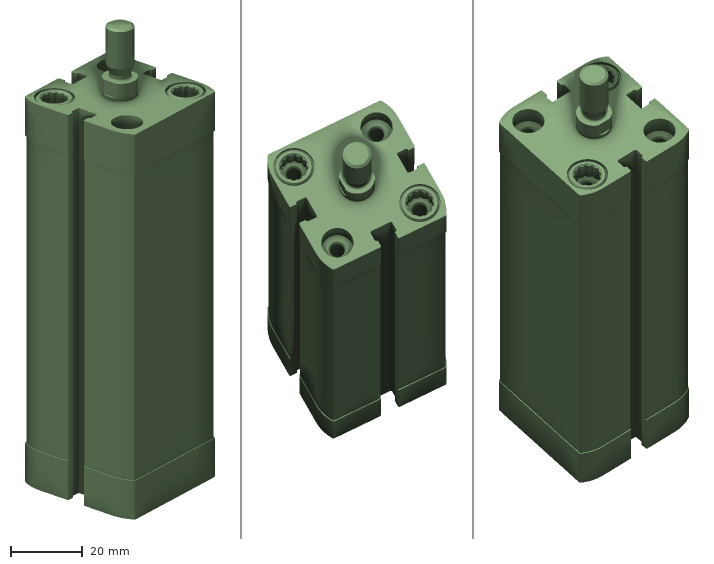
import cadquery as cq
import math

cap_width = 39.5
tube_inset = 0.25
housing_height = 119.0
cap_height = 12.0
tube_height = housing_height - 2 * cap_height

corner_radius = 12.5
corner_center_x = 13.0
corner_blend_radius = 0.8

slot_mouth_width = 5.4
slot_mouth_radius = 0.4
slot_inner_width = 6.8
slot_depth = 5.5
slot_lip = 2.2
slot_inner_chamfer = 0.3
slot_angles = (0, 180, 270)

hole_offset = 13.0
through_diameter = 4.13
hole_rim_diameter = 5.0
hole_rim_height = (hole_rim_diameter - through_diameter) / 2
counterbore_diameter = 9.0
counterbore_depth = 5.0

screw_recess_diameter = 11.5
screw_recess_depth = 1.0
head_diameter = 10.5
head_crown_diameter = 9.7
head_chamfer_height = 0.5

socket_point_diameter = 8.0
socket_mouth_diameter = 8.5
socket_mouth_height = 0.5
socket_depth = 5.0
hexagon_sides = 6
hexagon_turns = (0, 180 / hexagon_sides)

rod_diameter = 10.0
rod_embedment = cap_height
collar_height = 5.5
flat_across = 9.0
flat_height = 4.3
stud_diameter = 8.0
stud_length = 16.0
stud_full_length = 12.0
stud_tip_diameter = 6.4
stud_tip_height = 0.5
neck_diameter = 6.2
neck_cone_length = 2.5
neck_fillet = 0.6
collar_top = housing_height + collar_height


def cylinder(diameter, top, depth):
    """Cylinder on the Z axis, reaching down from its top."""
    return cq.Workplane("XY", origin=(0, 0, top - depth)).circle(diameter / 2).extrude(depth)


def cone(bottom_diameter, top_diameter, top, depth):
    """Truncated cone on the Z axis, reaching down from its top."""
    return cq.Workplane(
        cq.Solid.makeCone(bottom_diameter / 2, top_diameter / 2, depth, cq.Vector(0, 0, top - depth))
    )


def outline_prism(inset, bottom, height):
    """Square prism with relieved corners, its outline drawn in by the inset."""
    half = cap_width / 2 - inset
    radius = corner_radius - inset
    center_y = half - radius
    end_angle = math.acos((half - corner_center_x) / radius)
    mid_angle = (math.pi / 2 + end_angle) / 2
    side_y = center_y + radius * math.sin(end_angle)
    mid_x = corner_center_x + radius * math.cos(mid_angle)
    mid_y = center_y + radius * math.sin(mid_angle)
    return (
        cq.Workplane("XY", origin=(0, 0, bottom))
        .moveTo(-corner_center_x, half)
        .lineTo(corner_center_x, half)
        .threePointArc((mid_x, mid_y), (half, side_y))
        .lineTo(half, -side_y)
        .threePointArc((mid_x, -mid_y), (corner_center_x, -half))
        .lineTo(-corner_center_x, -half)
        .threePointArc((-mid_x, -mid_y), (-half, -side_y))
        .lineTo(-half, side_y)
        .threePointArc((-mid_x, mid_y), (-corner_center_x, half))
        .close()
        .extrude(height)
        .edges("|Z and (>X or <X)")
        .fillet(corner_blend_radius)
    )


def slot_cutter(inset, bottom, height):
    """Cutter for a slot in the -Y face, with its mouth rounded into the inset face."""
    face_y = inset - cap_width / 2
    floor_y = slot_depth - cap_width / 2
    undercut_depth = slot_depth - slot_lip
    half_mouth = slot_mouth_width / 2
    half_flare = half_mouth + slot_mouth_radius
    undercut = (
        cq.Workplane("XY", origin=(0, floor_y - undercut_depth / 2, bottom))
        .rect(slot_inner_width, undercut_depth)
        .extrude(height)
        .edges("|Z")
        .chamfer(slot_inner_chamfer)
    )
    mouth = (
        cq.Workplane("XY", origin=(0, 0, bottom))
        .moveTo(-half_mouth, floor_y)
        .lineTo(half_mouth, floor_y)
        .lineTo(half_mouth, face_y + slot_mouth_radius)
        .radiusArc((half_flare, face_y), -slot_mouth_radius)
        .lineTo(-half_flare, face_y)
        .radiusArc((-half_mouth, face_y + slot_mouth_radius), -slot_mouth_radius)
        .close()
        .extrude(height)
    )
    return undercut.union(mouth)


def housing_section(inset, bottom, height):
    """One slotted length of the housing."""
    section = outline_prism(inset, bottom, height)
    cutter = slot_cutter(inset, bottom, height)
    for angle in slot_angles:
        section = section.cut(cutter.rotate((0, 0, 0), (0, 0, 1), angle))
    return section


def through_hole_cutter(recess_depth):
    """Full-height hole with a conical rim at the floor of its recess."""
    floor = housing_height - recess_depth
    rim = cone(through_diameter, hole_rim_diameter, floor, hole_rim_height)
    return cylinder(through_diameter, housing_height, housing_height).union(rim)


def counterbore_cutter():
    counterbore = cylinder(counterbore_diameter, housing_height, counterbore_depth)
    return through_hole_cutter(counterbore_depth).union(counterbore)


def screw_cutter():
    """Everything that is hollow in and around one socket screw head."""
    shoulder = housing_height - head_chamfer_height
    head = cylinder(head_diameter, shoulder, screw_recess_depth - head_chamfer_height)
    head = head.union(cone(head_diameter, head_crown_diameter, housing_height, head_chamfer_height))
    ring_gap = cylinder(screw_recess_diameter, housing_height, screw_recess_depth).cut(head)

    socket_floor_diameter = socket_mouth_diameter - 2 * socket_mouth_height
    socket = cone(socket_floor_diameter, socket_mouth_diameter, housing_height, socket_mouth_height)
    for turn in hexagon_turns:
        hexagon = (
            cq.Workplane("XY", origin=(0, 0, housing_height - socket_depth))
            .polygon(hexagon_sides, socket_point_diameter)
            .extrude(socket_depth)
            .rotate((0, 0, 0), (0, 0, 1), turn)
        )
        socket = socket.union(hexagon)
    return through_hole_cutter(socket_depth).union(socket).union(ring_gap)


def make_housing():
    housing = housing_section(tube_inset, cap_height, tube_height)
    for bottom in (0, housing_height - cap_height):
        housing = housing.union(housing_section(0, bottom, cap_height))
    for side in (1, -1):
        offset = side * hole_offset
        housing = housing.cut(counterbore_cutter().translate((-offset, offset, 0)))
        housing = housing.cut(screw_cutter().translate((offset, offset, 0)))
    return housing.cut(cylinder(rod_diameter, housing_height, rod_embedment))


def make_rod():
    rod_radius = rod_diameter / 2
    stud_radius = stud_diameter / 2
    neck_radius = neck_diameter / 2
    rod_bottom = housing_height - rod_embedment
    stud_top = collar_top + stud_length
    full_bottom = stud_top - stud_full_length
    rod = (
        cq.Workplane("XZ")
        .moveTo(0, rod_bottom)
        .lineTo(rod_radius, rod_bottom)
        .lineTo(rod_radius, collar_top)
        .lineTo(neck_radius + neck_fillet, collar_top)
        .radiusArc((neck_radius, collar_top + neck_fillet), neck_fillet)
        .lineTo(neck_radius, full_bottom - neck_cone_length)
        .lineTo(stud_radius, full_bottom)
        .lineTo(stud_radius, stud_top - stud_tip_height)
        .lineTo(stud_tip_diameter / 2, stud_top)
        .lineTo(0, stud_top)
        .close()
        .revolve(360, (0, 0, 0), (0, 1, 0))
    )
    for side in (1, -1):
        block = (
            cq.Workplane("XY", origin=(0, side * (flat_across + rod_diameter) / 2, collar_top - flat_height))
            .rect(rod_diameter, rod_diameter)
            .extrude(flat_height)
        )
        rod = rod.cut(block)
    return rod


housing = make_housing()
rod = make_rod()
result = cq.Compound.makeCompound([housing.val(), rod.val()])